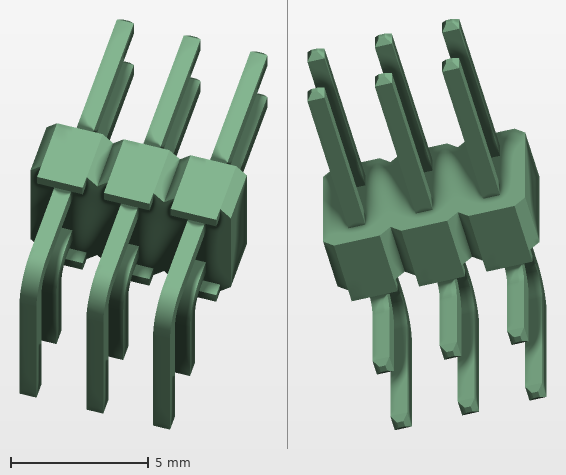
import cadquery as cq


POSITIONS = 3
HEADER_WIDTH = 7.62
PITCH = HEADER_WIDTH / POSITIONS
CELL_HEIGHT = 5.0
CELL_DEPTH = 2.04
CORNER_CHAMFER = 0.4
TAB_LENGTH = 0.5
TAB_HEIGHT = CORNER_CHAMFER
TAB_WIDTH = PITCH - 2 * CORNER_CHAMFER

PIN_SIZE = 0.64
BEND_RADIUS = 1.0
BEND_INNER_RADIUS = BEND_RADIUS - PIN_SIZE / 2
BEND_OUTER_RADIUS = BEND_RADIUS + PIN_SIZE / 2
TIP_CHAMFER = 0.2
OVERALL_LENGTH = 12.6
BACK_REACH = 6.0
LEG_DROP = 3.0
UPPER_REACH = OVERALL_LENGTH - BACK_REACH
LOWER_REACH = UPPER_REACH - PITCH
UPPER_ROW_Z = (CELL_HEIGHT + PITCH) / 2
LOWER_ROW_Z = (CELL_HEIGHT - PITCH) / 2


def make_cell():
    """Housing cell centred on X = 0, with chamfered long edges and two front tabs."""
    block = (
        cq.Workplane("XY")
        .box(PITCH, CELL_DEPTH, CELL_HEIGHT, centered=(True, False, False))
        .translate((0, -CELL_DEPTH, 0))
        .edges("|Y")
        .chamfer(CORNER_CHAMFER)
    )
    tab = (
        cq.Workplane("XY")
        .box(TAB_WIDTH, TAB_LENGTH, TAB_HEIGHT, centered=(True, False, False))
        .translate((0, -CELL_DEPTH - TAB_LENGTH, 0))
    )
    upper_tab = tab.translate((0, 0, CELL_HEIGHT - TAB_HEIGHT))
    return block.union(tab).union(upper_tab)


def make_pin(reach, row_z):
    """Square pin along Y at height row_z, bent down so that its leg's front face is at Y = -reach."""
    half = PIN_SIZE / 2
    top = row_z + half
    bottom = row_z - half
    leg_front = -reach
    leg_back = leg_front + PIN_SIZE
    bend_y = leg_front + BEND_OUTER_RADIUS
    bend_z = top - BEND_OUTER_RADIUS
    diagonal = 0.5 ** 0.5
    outer_middle = (bend_y - BEND_OUTER_RADIUS * diagonal, bend_z + BEND_OUTER_RADIUS * diagonal)
    inner_middle = (bend_y - BEND_INNER_RADIUS * diagonal, bend_z + BEND_INNER_RADIUS * diagonal)
    bent_bar = (
        cq.Workplane("YZ")
        .moveTo(BACK_REACH, top)
        .lineTo(bend_y, top)
        .threePointArc(outer_middle, (leg_front, bend_z))
        .lineTo(leg_front, -LEG_DROP)
        .lineTo(leg_back, -LEG_DROP)
        .lineTo(leg_back, bend_z)
        .threePointArc(inner_middle, (bend_y, bottom))
        .lineTo(BACK_REACH, bottom)
        .close()
        .extrude(half, both=True)
    )
    return bent_bar.faces(">Y").chamfer(TIP_CHAMFER).faces("<Z").chamfer(TIP_CHAMFER)


def make_position(index):
    """One complete header position, placed along the row by its index."""
    x = (index - (POSITIONS - 1) / 2) * PITCH
    body = (
        make_cell()
        .union(make_pin(UPPER_REACH, UPPER_ROW_Z))
        .union(make_pin(LOWER_REACH, LOWER_ROW_Z))
    )
    return body.translate((x, 0, 0)).solids()


positions = [make_position(index) for index in range(POSITIONS)]

result = cq.Compound.makeCompound([position.val() for position in positions])